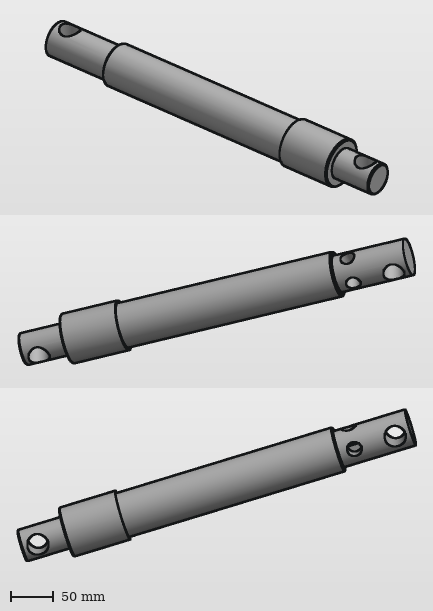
import cadquery as cq

length = 476.0
barrel_start = 87.5
collar_start = 352.5
housing_end = 421.5

tail_diameter = 44.5
barrel_diameter = 54.0
collar_diameter = 60.0
rod_diameter = 38.5

pin_hole_diameter = 24.8
tail_pin_x = 18.5
rod_pin_x = length - 19.5

port_diameter = 17.0
port_x = 68.5
port_depth = tail_diameter / 2

edge_chamfer = 1.5


def cylinder_x(start, end, diameter):
    """Solid cylinder on the X axis between two stations."""
    return cq.Workplane("YZ").workplane(offset=start).circle(diameter / 2).extrude(end - start)


def pin_hole(x):
    """Cutter for a pin hole that passes right through in Z."""
    return cq.Workplane("XY").center(x, 0).circle(pin_hole_diameter / 2).extrude(collar_diameter / 2, both=True)


def port(direction):
    """Cutter for a radial port drilled from outside the tail toward the axis."""
    outer_reach = collar_diameter / 2
    bottom_radius = tail_diameter / 2 - port_depth
    start = cq.Vector(port_x, 0, 0) + direction * bottom_radius
    return cq.Workplane(
        cq.Solid.makeCylinder(port_diameter / 2, outer_reach - bottom_radius, start, direction)
    )


def make_housing():
    """Tail, barrel and collar in one piece, bored for the rod."""
    tail = cylinder_x(0, barrel_start, tail_diameter)
    barrel = cylinder_x(barrel_start, collar_start, barrel_diameter).faces("<X").chamfer(edge_chamfer)
    collar = cylinder_x(collar_start, housing_end, collar_diameter).faces(">X").chamfer(edge_chamfer)
    housing = tail.union(barrel).union(collar)

    housing = housing.cut(pin_hole(tail_pin_x))
    for direction in (cq.Vector(0, 1, 0), cq.Vector(0, 0, -1)):
        housing = housing.cut(port(direction))

    return housing.cut(cylinder_x(barrel_start, housing_end, rod_diameter))


def make_rod():
    """Plain rod with a chamfered outer end and a pin hole."""
    rod = cylinder_x(barrel_start, length, rod_diameter).faces(">X").chamfer(edge_chamfer)
    return rod.cut(pin_hole(rod_pin_x))


housing = make_housing()
rod = make_rod()

result = cq.Compound.makeCompound([housing.val(), rod.val()])